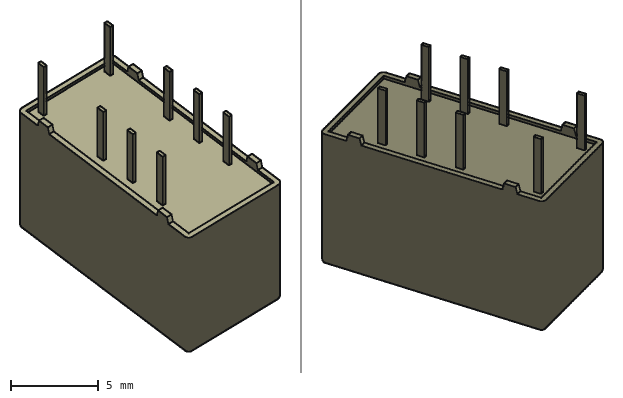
import cadquery as cq

length = 14.6
width = 7.2
total_height = 12.55
body_height = 9.0
corner_radius = 0.3
base_edge_radius = 0.28

wall = 0.35
recess_depth = 0.2
recess_floor = body_height - recess_depth

pin_pitch = 2.54
pin_columns = (0, 2, 3, 4)
pin_length_x = 0.5
pin_width_y = 0.22
first_pin_inset = 0.93
first_pin_x = first_pin_inset - length / 2
row_spacing = 2 * pin_pitch

standoff_spacing = 10.19
standoff_height = 0.45
standoff_base = 1.0
standoff_top = 0.76


def make_housing():
    body = (
        cq.Workplane("XY")
        .box(length, width, body_height, centered=(True, True, False))
        .edges("|Z").fillet(corner_radius)
        .faces("<Z").edges().fillet(base_edge_radius)
    )
    recess = (
        cq.Workplane("XY", origin=(0, 0, recess_floor))
        .rect(length - 2 * wall, width - 2 * wall)
        .extrude(recess_depth)
    )
    return body.cut(recess)


def make_pins():
    centers = [
        (first_pin_x + column * pin_pitch, side * row_spacing / 2)
        for column in pin_columns
        for side in (-1, 1)
    ]
    return (
        cq.Workplane("XY", origin=(0, 0, recess_floor))
        .pushPoints(centers)
        .rect(pin_length_x, pin_width_y)
        .extrude(total_height - recess_floor)
    )


def make_standoff(center_x, outer_y):
    """Trapezoidal block as thick as the wall, extruded toward -Y from outer_y."""
    return (
        cq.Workplane("XZ", origin=(center_x, outer_y, body_height))
        .polyline([
            (-standoff_base / 2, 0),
            (standoff_base / 2, 0),
            (standoff_top / 2, standoff_height),
            (-standoff_top / 2, standoff_height),
        ])
        .close()
        .extrude(wall)
    )


result = make_housing().union(make_pins())
for side in (-1, 1):
    for outer_y in (wall - width / 2, width / 2):
        result = result.union(make_standoff(side * standoff_spacing / 2, outer_y))